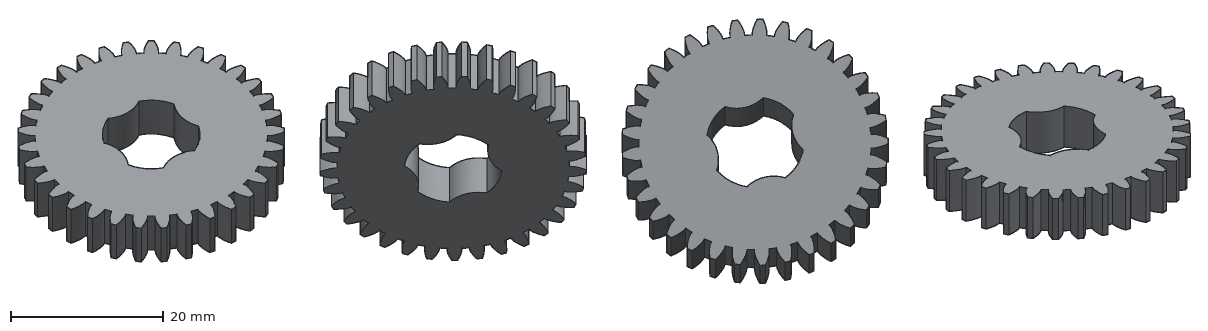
import cadquery as cq
import math

overall_size = 35.0
thickness = 6.25
tooth_count = 33
pressure_angle = math.radians(20)
addendum_factor = 1.0
dedendum_factor = 1.25
flank_segments = 6

bore_radius = 6.4
lobe_radius = 4.83
lobe_reach = 5.1
lobe_count = 4


def involute(angle):
    """Involute function of a pressure angle."""
    return math.tan(angle) - angle


def polar(radius, angle):
    """XY point at a radius and angle around the gear axis."""
    return (radius * math.cos(angle), radius * math.sin(angle))


pitch_angle = 2 * math.pi / tooth_count
tip_ratio = 1 + 2 * addendum_factor / tooth_count
tip_pressure_angle = math.acos(math.cos(pressure_angle) / tip_ratio)
base_half_angle = pitch_angle / 4 + involute(pressure_angle)
tip_half_angle = base_half_angle - involute(tip_pressure_angle)

tip_radius = overall_size / 2 / math.cos(pitch_angle / 4 - tip_half_angle)
pitch_radius = tip_radius / tip_ratio
module = 2 * pitch_radius / tooth_count
base_radius = pitch_radius * math.cos(pressure_angle)
root_radius = pitch_radius - dedendum_factor * module


def flank_points(center_angle, side):
    """Involute points from base to tip; side is -1 or +1 about the tooth centre."""
    points = []
    for step in range(flank_segments + 1):
        roll = math.tan(tip_pressure_angle) * step / flank_segments
        local_pressure_angle = math.atan(roll)
        radius = base_radius / math.cos(local_pressure_angle)
        half_angle = base_half_angle - involute(local_pressure_angle)
        points.append(polar(radius, center_angle + side * half_angle))
    return points


def gear_blank():
    """Toothed disc with radial flanks between the root and base circles."""
    outline = cq.Workplane("XY").moveTo(*polar(root_radius, -base_half_angle))
    for tooth in range(tooth_count):
        center_angle = tooth * pitch_angle
        rising = flank_points(center_angle, -1)
        falling = flank_points(center_angle, 1)[::-1]
        gap_angle = center_angle + pitch_angle / 2
        next_tooth_start = center_angle + pitch_angle - base_half_angle
        outline = (
            outline.lineTo(*rising[0])
            .spline(rising[1:], includeCurrent=True)
            .threePointArc(polar(tip_radius, center_angle), falling[0])
            .spline(falling[1:], includeCurrent=True)
            .lineTo(*polar(root_radius, center_angle + base_half_angle))
            .threePointArc(polar(root_radius, gap_angle), polar(root_radius, next_tooth_start))
        )
    return outline.close().extrude(thickness)


def lobed_bore():
    """Round bore narrowed by evenly spaced convex lobes."""
    bore = cq.Workplane("XY").circle(bore_radius).extrude(thickness)
    lobes = (
        cq.Workplane("XY")
        .polarArray(lobe_reach + lobe_radius, 0, 360, lobe_count)
        .circle(lobe_radius)
        .extrude(thickness)
    )
    return bore.cut(lobes)


result = gear_blank().cut(lobed_bore())